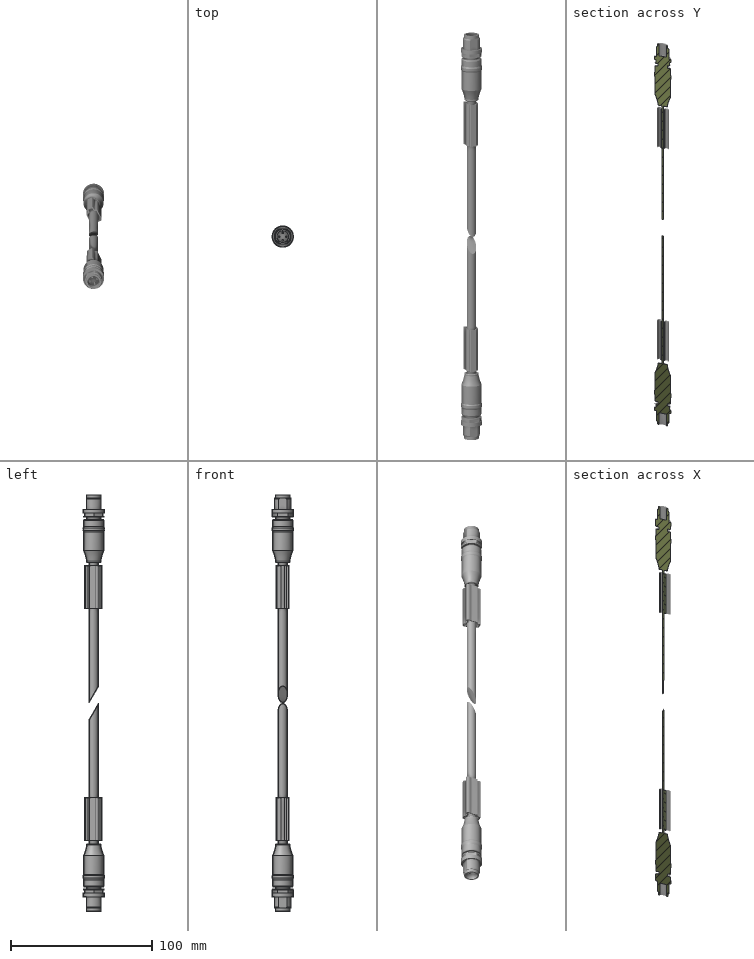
import cadquery as cq
import math

total_length = 295.0
half_length = total_length / 2

tip_diameter = 10.5
tip_length = 2.2
nose_diameter = 12.0
nose_top = half_length - tip_length
nose_chamfer_width = 0.3
nose_chamfer_height = 0.9
flange_diameter = 15.0
flange_top = 137.3
hex_across_flats = 13.0
hex_top = 134.6
seat_top = 132.3
seat_bottom = 131.7
neck_diameter = 10.0
body_diameter = 14.2
body_top = 130.1
body_chamfer_width = 0.3
body_chamfer_height = 0.7
collar_top = 125.2
collar_crest = 124.0
collar_foot = 122.1
collar_foot_diameter = 14.9
collar_bottom = 121.3
taper_top = 108.0
taper_middle = 104.2
taper_middle_diameter = 11.5
taper_bottom = 101.0
boot_end_diameter = 10.0
boot_end_chamfer = 0.3
plug_end = 99.7

socket_diameter = 8.3
socket_depth = 9.0
socket_floor = half_length - socket_depth
pin_count = 4
pin_diameter = 1.0
pin_circle_diameter = 5.2
pin_setback = 3.5

cable_diameter = 6.7
cable_radius = cable_diameter / 2
cut_angle = 60.0
cut_gap = 0.8

sleeve_top = 97.4
sleeve_length = 30.4
sleeve_turn = -5.3
wall = 0.9
grip_radius = cable_radius + wall
waist_front = -1.7
waist_back = 2.8
rail_half_width = 2.4
rail_front = 3.8
rail_chamfer_start = 5.5
rail_chamfer_width = 0.6
rail_back = 6.3
jaw_front = -5.5
jaw_shoulder = -3.4
jaw_corner = -4.2
left_jaw_reach = 4.4
left_jaw_front_reach = 3.7
right_jaw_reach = 4.9
right_jaw_front_reach = 4.6
groove_left = -0.8
groove_right = 1.7
lip_inner_edge = 3.2


def cylinder(diameter, bottom, top):
    return cq.Workplane("XY").workplane(offset=bottom).circle(diameter / 2).extrude(top - bottom)


def plug_nose():
    """Round nose with two flats facing Y, stepped down to the round tip."""
    nose = cylinder(nose_diameter, flange_top, nose_top)
    nose = nose.faces(">Z").chamfer(nose_chamfer_height, nose_chamfer_width)
    between_flats = cq.Workplane("XY").box(nose_diameter, tip_diameter, total_length)
    return nose.intersect(between_flats).union(cylinder(tip_diameter, flange_top, half_length))


def plug_nut():
    """Flange above a hexagon with corners on X, standing on a round seat."""
    corner_diameter = hex_across_flats / math.cos(math.pi / 6)
    hexagon = cq.Workplane("XY").workplane(offset=seat_top)
    hexagon = hexagon.polygon(6, corner_diameter).extrude(hex_top - seat_top)
    flange = cylinder(flange_diameter, hex_top, flange_top)
    return hexagon.union(flange).union(cylinder(body_diameter, seat_bottom, seat_top))


def plug_body():
    """Turned body with a raised collar and a concave taper down to the cable."""
    body_radius = body_diameter / 2
    end_radius = boot_end_diameter / 2
    profile = (
        cq.Workplane("XZ")
        .moveTo(0, body_top)
        .lineTo(body_radius - body_chamfer_width, body_top)
        .lineTo(body_radius, body_top - body_chamfer_height)
        .lineTo(body_radius, collar_top)
        .lineTo(flange_diameter / 2, collar_crest)
        .lineTo(collar_foot_diameter / 2, collar_foot)
        .lineTo(body_radius, collar_bottom)
        .lineTo(body_radius, taper_top)
        .threePointArc((taper_middle_diameter / 2, taper_middle), (end_radius, taper_bottom))
        .lineTo(end_radius, plug_end + boot_end_chamfer)
        .lineTo(end_radius - boot_end_chamfer, plug_end)
        .lineTo(0, plug_end)
        .close()
    )
    return profile.revolve(360, (0, 0, 0), (0, 1, 0))


def contact_pins():
    pins = cq.Workplane("XY").workplane(offset=socket_floor)
    pins = pins.polarArray(pin_circle_diameter / 2, 0, 360, pin_count)
    return pins.circle(pin_diameter / 2).extrude(socket_depth - pin_setback)


def upper_plug():
    neck = cylinder(neck_diameter, body_top, seat_bottom)
    solid = plug_body().union(neck).union(plug_nut()).union(plug_nose())
    solid = solid.cut(cylinder(socket_diameter, socket_floor, half_length))
    return solid.union(contact_pins())


def cable(side):
    """Upper (side 1) or lower (side -1) cable, cut off obliquely near the middle.

    The lower cable is the upper one turned half a turn about X, so both cuts are parallel.
    """
    near_end = cut_gap / 2
    far_end = near_end + cable_diameter * math.tan(math.radians(cut_angle))
    outline = [
        (cable_radius, near_end),
        (-cable_radius, far_end),
        (-cable_radius, plug_end),
        (cable_radius, plug_end),
    ]
    blank = cq.Workplane("YZ").polyline(outline).close().extrude(cable_radius, both=True)
    rod = blank.intersect(cylinder(cable_diameter, 0, plug_end))
    return rod if side > 0 else rod.rotate((0, 0, 0), (1, 0, 0), 180)


def grip_point(x):
    """Point at x on the front of the wall that wraps around the cable."""
    return (x, -math.sqrt(grip_radius**2 - x**2))


def sleeve_outline():
    """Waist around the cable, a marker rail behind it and two jaws beside a groove in front."""
    return (
        cq.Workplane("XY")
        .moveTo(groove_left, jaw_front)
        .lineTo(-left_jaw_front_reach, jaw_front)
        .lineTo(-left_jaw_reach, jaw_corner)
        .lineTo(-left_jaw_reach, jaw_shoulder)
        .lineTo(-grip_radius, waist_front)
        .lineTo(-grip_radius, waist_back)
        .lineTo(-rail_half_width, rail_front)
        .lineTo(-rail_half_width, rail_chamfer_start)
        .lineTo(rail_chamfer_width - rail_half_width, rail_back)
        .lineTo(rail_half_width - rail_chamfer_width, rail_back)
        .lineTo(rail_half_width, rail_chamfer_start)
        .lineTo(rail_half_width, rail_front)
        .lineTo(grip_radius, waist_back)
        .lineTo(grip_radius, waist_front)
        .lineTo(right_jaw_reach, jaw_shoulder)
        .lineTo(right_jaw_reach, jaw_corner)
        .lineTo(right_jaw_front_reach, jaw_front)
        .lineTo(lip_inner_edge, jaw_front)
        .lineTo(*grip_point(groove_right))
        .threePointArc(grip_point((groove_left + groove_right) / 2), grip_point(groove_left))
        .close()
    )


def upper_sleeve():
    solid = sleeve_outline().extrude(sleeve_length)
    solid = solid.cut(sleeve_outline().offset2D(-wall).extrude(sleeve_length))
    solid = solid.rotate((0, 0, 0), (0, 0, 1), sleeve_turn)
    solid = solid.translate((0, 0, sleeve_top - sleeve_length))
    return solid.cut(cable(1))


bodies = []
for side in (1, -1):
    plug = upper_plug()
    sleeve = upper_sleeve()
    if side < 0:
        plug = plug.mirror("XY")
        sleeve = sleeve.mirror("XY")
    corded_plug = plug.union(cable(side))
    bodies += [corded_plug.solids().val(), sleeve.solids().val()]

result = cq.Compound.makeCompound(bodies)